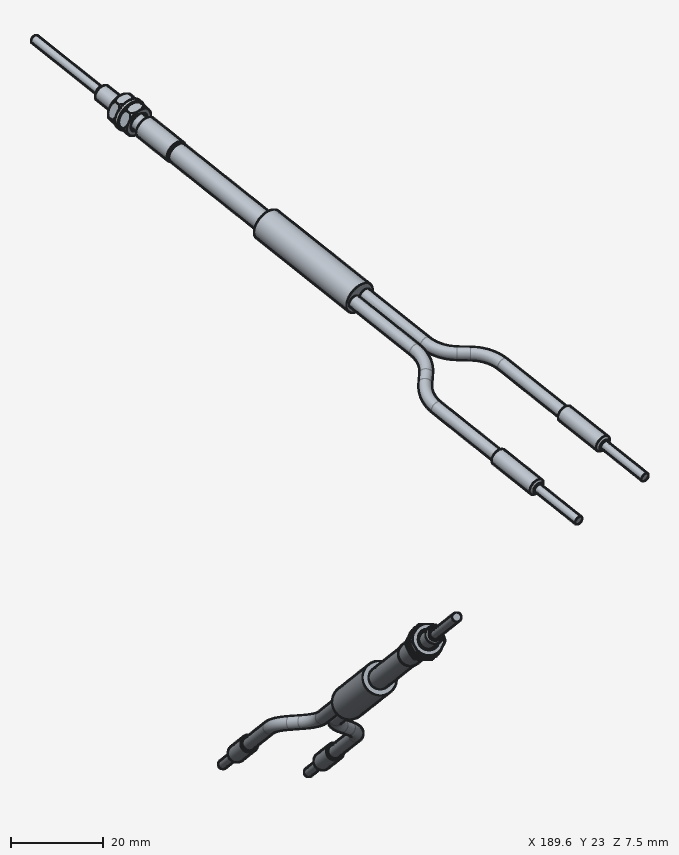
import cadquery as cq
import math

total_length = 189.6

tip_diameter = 2.0
shank_diameter = 4.0
grip_diameter = 5.3
shank_start = 21.6
grip_start = 36.4
grip_end = 46.8
end_chamfer = 0.5
grip_end_chamfer = 0.4

nut_start = 28.0
nut_thickness = 2.7
nut_across_flats = 6.8
nut_corner_depth = 0.47
nut_corner_inset = 0.8
nut_bore_chamfer = 0.4
washer_diameter = 7.5
washer_thickness = 1.0

cable_diameter = 5.0
junction_diameter = 7.5
junction_start = 76.5
junction_end = 106.7

branch_diameter = 3.0
branch_near_offset = branch_diameter / 2
branch_far_offset = 9.5
bend_start = 126.7
bend_radius = 10.0
bend_angle = 45.0
fork_tilt = 3.0
ferrule_diameter = 4.0
ferrule_start = 163.2
ferrule_end = 176.3

X_DIRECTION = cq.Vector(1, 0, 0)


def rod(diameter, start, end, offset=0.0):
    """Round bar along X between two stations, at a sideways offset in Y."""
    base = cq.Vector(start, offset, 0)
    solid = cq.Solid.makeCylinder(diameter / 2, end - start, base, X_DIRECTION)
    return cq.Workplane(obj=solid)


def make_probe():
    tip = rod(tip_diameter, 0, shank_start)
    shank = rod(shank_diameter, shank_start, grip_start).faces("<X").chamfer(end_chamfer)
    grip = rod(grip_diameter, grip_start, grip_end).faces(">X").chamfer(grip_end_chamfer)
    return tip.union(shank).union(grip)


def make_nut(start):
    """Hexagon nut with flats facing up and down and both rims chamfered at the corners."""
    across_corners = nut_across_flats / math.cos(math.radians(30))
    end = start + nut_thickness
    hexagon = (
        cq.Workplane("YZ", origin=(start, 0, 0))
        .polygon(6, across_corners)
        .extrude(nut_thickness)
    )
    corner_cutter = rod(across_corners, start, end)
    corner_cutter = corner_cutter.faces("<X or >X").chamfer(nut_corner_inset, nut_corner_depth)
    bored = hexagon.intersect(corner_cutter).cut(rod(shank_diameter, start, end))
    return bored.edges(cq.selectors.RadiusNthSelector(0)).chamfer(nut_bore_chamfer)


def make_washer(start):
    end = start + washer_thickness
    return rod(washer_diameter, start, end).cut(rod(shank_diameter, start, end))


def make_cable():
    cable = rod(cable_diameter, grip_end, junction_start)
    junction = rod(junction_diameter, junction_start, junction_end)
    return cable.union(junction)


def make_branch(side):
    """One branch: an S-bent cord, its end ferrule and its tip; side is +1 or -1 in Y."""
    angle = math.radians(bend_angle)
    bend_length = bend_radius * math.sin(angle)
    bend_rise = bend_radius * (1 - math.cos(angle))
    half_length = bend_radius * math.sin(angle / 2)
    half_rise = bend_radius * (1 - math.cos(angle / 2))
    slope_rise = branch_far_offset - branch_near_offset - 2 * bend_rise
    bend_end = bend_start + 2 * bend_length + slope_rise / math.tan(angle)

    near = side * branch_near_offset
    far = side * branch_far_offset
    path = (
        cq.Workplane("XY")
        .moveTo(junction_end, near)
        .lineTo(bend_start, near)
        .threePointArc(
            (bend_start + half_length, near + side * half_rise),
            (bend_start + bend_length, near + side * bend_rise),
        )
        .lineTo(bend_end - bend_length, far - side * bend_rise)
        .threePointArc((bend_end - half_length, far - side * half_rise), (bend_end, far))
        .lineTo(ferrule_start, far)
    )
    cord = (
        cq.Workplane("YZ", origin=(junction_end, near, 0))
        .circle(branch_diameter / 2)
        .sweep(path)
    )
    ferrule = rod(ferrule_diameter, ferrule_start, ferrule_end, far).faces(">X").chamfer(end_chamfer)
    tip = rod(tip_diameter, ferrule_end, total_length, far)
    branch = cord.union(ferrule).union(tip)
    return branch.rotate((0, 0, 0), (1, 0, 0), fork_tilt)


washer_start = nut_start + nut_thickness
washer_end = washer_start + washer_thickness

probe = make_probe()
nuts = [make_nut(start) for start in (nut_start, washer_end)]
washer = make_washer(washer_start)
cable = make_cable()
branches = [make_branch(side) for side in (1, -1)]

bodies = [probe, *nuts, washer, cable, *branches]
result = cq.Compound.makeCompound([body.solids().val() for body in bodies])